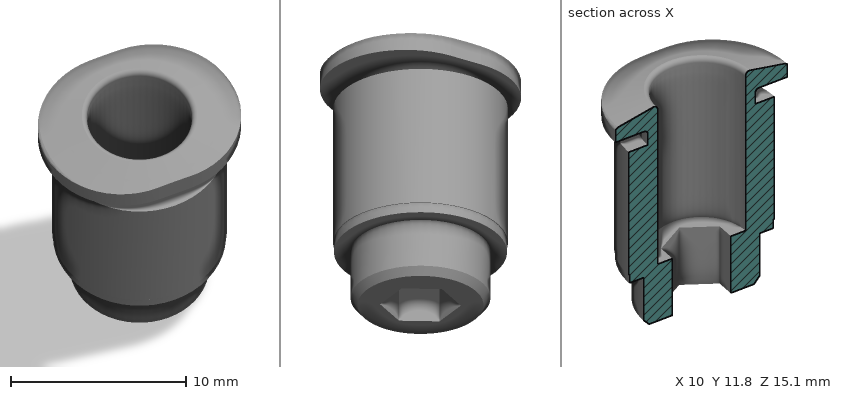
import cadquery as cq
import math

spigot_diameter = 8.0
spigot_height = 3.4
spigot_chamfer_width = 0.4
spigot_chamfer_height = 0.45
collar_diameter = 9.9
collar_top = 4.0
body_diameter = 10.0
body_top = 12.6
neck_diameter = 7.4
neck_fillet = 0.25

overall_height = 15.1
head_bottom = 13.6
head_width = 9.8
head_length = 11.8
head_edge_radius = 0.2
crown_angle = 11.0
relief_margin = 1.0

bore_diameter = 6.0
bore_mouth_radius = 0.3
bore_floor = collar_top
hex_sides = 6
hex_across_flats = 4.0

arc_middle_inset = 1 - math.sqrt(0.5)

head_radius = head_length / 2
mouth_radius = bore_diameter / 2 + bore_mouth_radius


def cylinder(diameter, bottom, top):
    """Upright cylinder on the Z axis between two heights."""
    return cq.Workplane("XY").workplane(offset=bottom).circle(diameter / 2).extrude(top - bottom)


def spin(profile):
    """Solid made by a full turn of an XZ profile about the Z axis."""
    return profile.revolve(360, (0, 0, 0), (0, 1, 0))


def make_spigot():
    """Lower plug with a chamfered bottom edge."""
    spigot = cylinder(spigot_diameter, 0, spigot_height)
    return spigot.faces("<Z").edges().chamfer(spigot_chamfer_height, spigot_chamfer_width)


def make_neck():
    """Narrow neck that flares into the underside of the head with a concave fillet."""
    radius = neck_diameter / 2
    flare_radius = radius + neck_fillet
    flare_start = head_bottom - neck_fillet
    mid_offset = neck_fillet * arc_middle_inset
    profile = (
        cq.Workplane("XZ")
        .moveTo(0, body_top)
        .lineTo(radius, body_top)
        .lineTo(radius, flare_start)
        .threePointArc((radius + mid_offset, head_bottom - mid_offset), (flare_radius, head_bottom))
        .lineTo(0, head_bottom)
        .close()
    )
    return spin(profile)


def make_crown_relief():
    """Ring-shaped cutter that leaves a shallow conical top with a rounded rim."""
    slope = math.radians(crown_angle)
    rim_center_radius = head_radius - head_edge_radius
    arc_start_radius = rim_center_radius + head_edge_radius * math.sin(slope)
    arc_start_height = overall_height - (arc_start_radius - mouth_radius) * math.tan(slope)
    rim_center_height = arc_start_height - head_edge_radius * math.cos(slope)
    mid_angle = (math.pi / 2 - slope) / 2
    arc_middle = (
        rim_center_radius + head_edge_radius * math.cos(mid_angle),
        rim_center_height + head_edge_radius * math.sin(mid_angle),
    )
    outer_radius = head_radius + relief_margin
    profile = (
        cq.Workplane("XZ")
        .moveTo(mouth_radius, overall_height)
        .lineTo(arc_start_radius, arc_start_height)
        .threePointArc(arc_middle, (head_radius, rim_center_height))
        .lineTo(outer_radius, rim_center_height)
        .lineTo(outer_radius, overall_height)
        .close()
    )
    return spin(profile)


def make_head():
    """Stadium-shaped head with a conical crown."""
    stadium = (
        cq.Workplane("XY")
        .workplane(offset=head_bottom)
        .slot2D(head_length, head_width, 90)
        .extrude(overall_height - head_bottom)
    )
    return stadium.cut(make_crown_relief())


def make_bore():
    """Blind round bore from the top, with a rounded mouth."""
    radius = bore_diameter / 2
    mouth_start = overall_height - bore_mouth_radius
    mid_offset = bore_mouth_radius * arc_middle_inset
    profile = (
        cq.Workplane("XZ")
        .moveTo(0, bore_floor)
        .lineTo(radius, bore_floor)
        .lineTo(radius, mouth_start)
        .threePointArc(
            (radius + mid_offset, overall_height - mid_offset),
            (mouth_radius, overall_height),
        )
        .lineTo(0, overall_height)
        .close()
    )
    return spin(profile)


def make_hex_passage():
    """Hexagonal hole from the bottom face up to the bore floor, corners on the X axis."""
    across_corners = hex_across_flats / math.cos(math.pi / hex_sides)
    return cq.Workplane("XY").polygon(hex_sides, across_corners).extrude(bore_floor)


result = (
    make_spigot()
    .union(cylinder(collar_diameter, spigot_height, collar_top))
    .union(cylinder(body_diameter, collar_top, body_top))
    .union(make_neck())
    .union(make_head())
    .cut(make_bore())
    .cut(make_hex_passage())
)